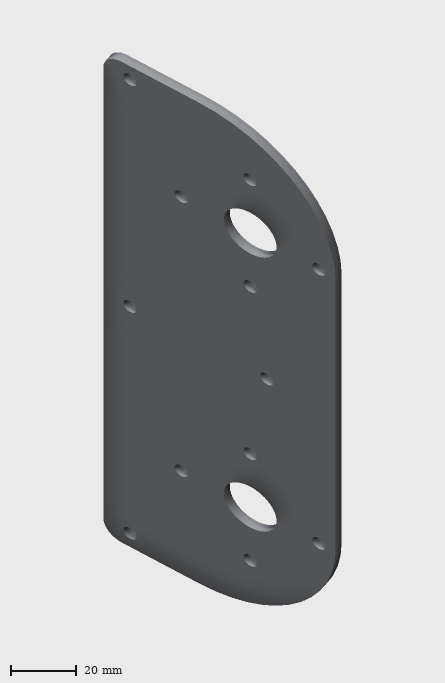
import cadquery as cq

width = 85.7
height = 228.5
thickness = 3.2
small_corner_radius = 6.9
large_corner_radius = 50.3

screw_diameter = 5.0
bore_diameter = 19.5
bore_x = 54.2
bore_z = 65.2
bolt_offset = 25.4
edge_screw_x = 9.8
edge_screw_z = 108.0
inner_screw_x = 60.4


def make_plate():
    """Flat plate with small corners on the straight edge and large ones opposite."""
    plate = cq.Workplane("XY").box(width, thickness, height, centered=(False, True, True))
    plate = plate.edges("|Y and <X").fillet(small_corner_radius)
    return plate.edges("|Y and >X").fillet(large_corner_radius)


def drill(plate, centers, diameter):
    """Cut through holes along Y at the given (x, z) centers."""
    cutters = (
        cq.Workplane("XZ")
        .pushPoints(centers)
        .circle(diameter / 2)
        .extrude(thickness, both=True)
    )
    return plate.cut(cutters)


bore_centers = [(bore_x, -bore_z), (bore_x, bore_z)]

screw_centers = [(edge_screw_x, z) for z in (-edge_screw_z, 0, edge_screw_z)]
screw_centers.append((inner_screw_x, 0))

for x, z in bore_centers:
    screw_centers += [
        (x - bolt_offset, z),
        (x + bolt_offset, z),
        (x, z - bolt_offset),
        (x, z + bolt_offset),
    ]

result = make_plate()
result = drill(result, bore_centers, bore_diameter)
result = drill(result, screw_centers, screw_diameter)